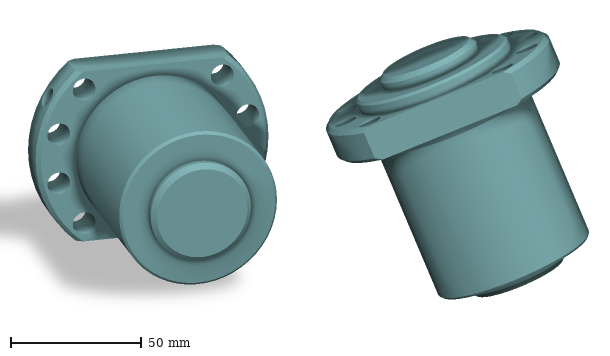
import cadquery as cq
import math

SHAFT_LENGTH = 94.0
SHAFT_DIAMETER = 40.0
SHAFT_CHAMFER = 2.0
NECK_DIAMETER = 32.0
NECK_GAP = 0.2

BARREL_LENGTH = 84.0
BARREL_DIAMETER = 63.0
BARREL_CHAMFER = 1.0

FLANGE_OFFSET = 5.0
FLANGE_THICKNESS = 14.1
FLANGE_DIAMETER = 93.0
FLANGE_FLATS = 70.0
FLANGE_CHAMFER = 1.7

GROOVE_WIDTH = 2.9
GROOVE_DIAMETER = 59.2

BOLT_DIAMETER = 9.0
BOLT_CIRCLE_DIAMETER = 78.0
BOLT_ANGLES = (15, 45)

PORT_DIAMETER = 6.7
PORT_MOUTH_DIAMETER = 8.0
PORT_ANGLE = 30

barrel_start = -BARREL_LENGTH / 2
flange_start = barrel_start + FLANGE_OFFSET
flange_end = flange_start + FLANGE_THICKNESS
flange_middle = (flange_start + flange_end) / 2


def cylinder_along_x(start, length, diameter):
    """Solid cylinder on the X axis, beginning at x = start."""
    return cq.Workplane("YZ", origin=(start, 0, 0)).circle(diameter / 2).extrude(length)


def make_shaft():
    """Shaft with chamfered ends and a reduced neck along the nut."""
    shaft = cylinder_along_x(-SHAFT_LENGTH / 2, SHAFT_LENGTH, SHAFT_DIAMETER)
    shaft = shaft.edges().chamfer(SHAFT_CHAMFER)
    neck_start = barrel_start - NECK_GAP
    neck_length = BARREL_LENGTH + 2 * NECK_GAP
    sleeve = cylinder_along_x(neck_start, neck_length, SHAFT_DIAMETER).cut(
        cylinder_along_x(neck_start, neck_length, NECK_DIAMETER)
    )
    return shaft.cut(sleeve)


def make_barrel():
    barrel = cylinder_along_x(barrel_start, BARREL_LENGTH, BARREL_DIAMETER)
    barrel = barrel.faces("<X or >X").edges().chamfer(BARREL_CHAMFER)
    groove = cylinder_along_x(flange_end, GROOVE_WIDTH, BARREL_DIAMETER).cut(
        cylinder_along_x(flange_end, GROOVE_WIDTH, GROOVE_DIAMETER)
    )
    return barrel.cut(groove)


def make_flange():
    """Chamfered disc trimmed by two flats, with bolt holes through it."""
    disc = cylinder_along_x(flange_start, FLANGE_THICKNESS, FLANGE_DIAMETER)
    disc = disc.edges().chamfer(FLANGE_CHAMFER)
    flats = cq.Workplane().box(FLANGE_THICKNESS, FLANGE_DIAMETER, FLANGE_FLATS)
    flange = disc.intersect(flats.translate((flange_middle, 0, 0)))

    bolt_points = []
    for angle in BOLT_ANGLES:
        y = BOLT_CIRCLE_DIAMETER / 2 * math.cos(math.radians(angle))
        z = BOLT_CIRCLE_DIAMETER / 2 * math.sin(math.radians(angle))
        bolt_points += [(y, z), (-y, z), (y, -z), (-y, -z)]
    bolt_holes = (
        cq.Workplane("YZ", origin=(flange_start, 0, 0))
        .pushPoints(bolt_points)
        .circle(BOLT_DIAMETER / 2)
        .extrude(FLANGE_THICKNESS)
    )
    return flange.cut(bolt_holes)


def make_port():
    """Cutter for the radial port, with a 45 degree countersunk mouth."""
    rim = FLANGE_DIAMETER / 2
    radius = PORT_DIAMETER / 2
    mouth_radius = PORT_MOUTH_DIAMETER / 2
    mouth_depth = mouth_radius - radius
    profile = [
        (0, 0),
        (radius, 0),
        (radius, rim - mouth_depth),
        (mouth_radius, rim),
        (0, rim),
    ]
    cutter = cq.Workplane("XY").polyline(profile).close().revolve(360, (0, 0), (0, 1))
    cutter = cutter.rotate((0, 0, 0), (1, 0, 0), 180 - PORT_ANGLE)
    return cutter.translate((flange_middle, 0, 0))


def make_nut():
    bore = cylinder_along_x(barrel_start, BARREL_LENGTH, NECK_DIAMETER)
    return make_barrel().union(make_flange()).cut(bore).cut(make_port())


shaft = make_shaft()
nut = make_nut()

result = cq.Compound.makeCompound([shaft.val(), nut.val()])